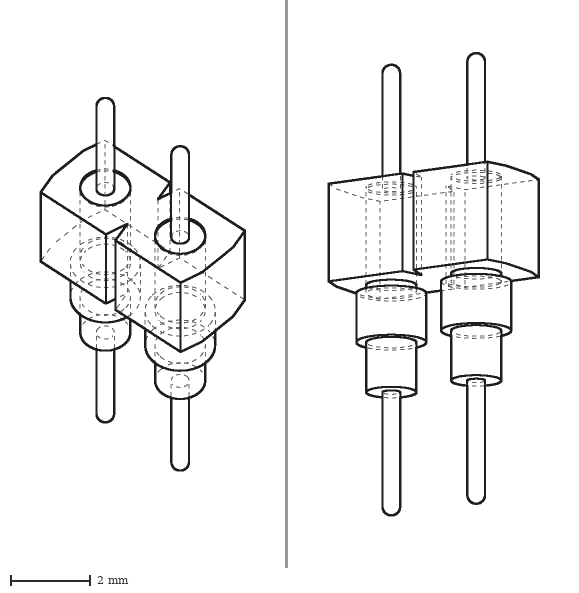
import cadquery as cq

pin_count = 2
overall_length = 5.08
pitch = overall_length / pin_count
total_height = 11.68

housing_width = 2.44
housing_bottom = 5.97
housing_height = 2.53
housing_top = housing_bottom + housing_height
end_face_width = 1.17
taper_inset = 0.16

lead_radius = 0.45 / 2
barrel_radius = 1.27 / 2
collar_radius = 1.78 / 2
barrel_bottom = 3.19
collar_bottom = 4.49
collar_top = 5.76
barrel_recess = 0.06
barrel_top = housing_top - barrel_recess

pin_positions = [(i - (pin_count - 1) / 2) * pitch for i in range(pin_count)]


def make_cell(x):
    """Eight-sided block tapering toward both cell boundaries."""
    half_pitch = pitch / 2
    half_front = half_pitch - taper_inset
    half_width = housing_width / 2
    half_end = end_face_width / 2
    outline = [
        (-half_front, -half_width),
        (half_front, -half_width),
        (half_pitch, -half_end),
        (half_pitch, half_end),
        (half_front, half_width),
        (-half_front, half_width),
        (-half_pitch, half_end),
        (-half_pitch, -half_end),
    ]
    return (
        cq.Workplane("XY")
        .workplane(offset=housing_bottom)
        .center(x, 0)
        .polyline(outline)
        .close()
        .extrude(housing_height)
    )


def make_housing():
    """Joined cells with one through hole for each pin barrel."""
    housing = make_cell(pin_positions[0])
    for x in pin_positions[1:]:
        housing = housing.union(make_cell(x))
    holes = (
        cq.Workplane("XY")
        .workplane(offset=housing_bottom)
        .pushPoints([(x, 0) for x in pin_positions])
        .circle(barrel_radius)
        .extrude(housing_height)
    )
    return housing.cut(holes).clean()


def make_pin(x):
    """Turned pin: round-ended leads, a barrel and a collar below the housing."""
    dome_mid = lead_radius * 0.5 ** 0.5
    lower_dome_base = lead_radius
    upper_dome_base = total_height - lead_radius
    profile = (
        cq.Workplane("XZ")
        .moveTo(0, 0)
        .threePointArc((dome_mid, lower_dome_base - dome_mid), (lead_radius, lower_dome_base))
        .lineTo(lead_radius, barrel_bottom)
        .lineTo(barrel_radius, barrel_bottom)
        .lineTo(barrel_radius, collar_bottom)
        .lineTo(collar_radius, collar_bottom)
        .lineTo(collar_radius, collar_top)
        .lineTo(barrel_radius, collar_top)
        .lineTo(barrel_radius, barrel_top)
        .lineTo(lead_radius, barrel_top)
        .lineTo(lead_radius, upper_dome_base)
        .threePointArc((dome_mid, upper_dome_base + dome_mid), (0, total_height))
        .close()
    )
    return profile.revolve(360, (0, 0, 0), (0, 1, 0)).translate((x, 0, 0))


housing = make_housing()
pins = [make_pin(x) for x in pin_positions]

result = cq.Compound.makeCompound([housing.val(), *[pin.val() for pin in pins]])